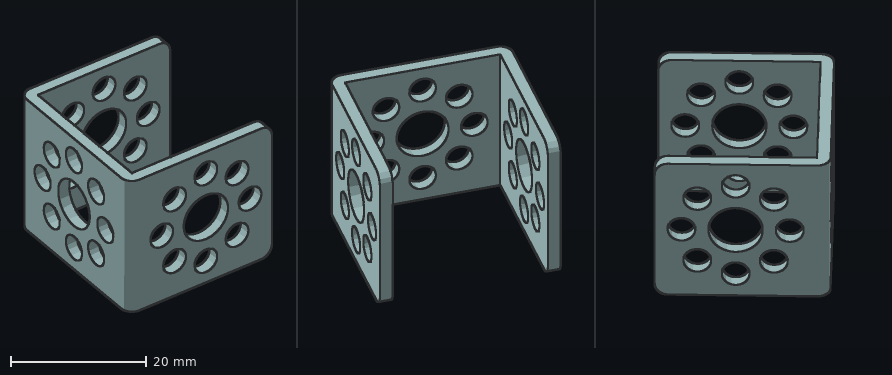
import cadquery as cq

width = 28.0
depth = 26.0
height = 24.0

thickness = (width - height) / 2
bend_radius = thickness
corner_radius = thickness

center_hole_diameter = 8.0
bolt_hole_diameter = 4.1
bolt_circle_radius = 8.0
bolt_hole_count = 8

flange_pattern_y = depth - height / 2


def make_channel():
    """U-shaped channel: web at Y = 0, open toward +Y, centred on X and Z."""
    outer = (
        cq.Workplane("XY")
        .box(width, depth, height)
        .translate((0, depth / 2, 0))
        .edges("|Z and <Y")
        .fillet(bend_radius)
    )
    cavity = (
        cq.Workplane("XY")
        .box(width - 2 * thickness, depth, height)
        .translate((0, depth / 2 + thickness, 0))
    )
    channel = outer.cut(cavity)
    return channel.edges("|X and >Y").fillet(corner_radius)


def hole_pattern(plane, length):
    """Centre hole and ring of bolt holes, as pins starting at the plane's origin."""
    center_pin = cq.Workplane(plane).circle(center_hole_diameter / 2).extrude(length)
    bolt_pins = (
        cq.Workplane(plane)
        .polarArray(bolt_circle_radius, 0, 360, bolt_hole_count)
        .circle(bolt_hole_diameter / 2)
        .extrude(length)
    )
    return center_pin.union(bolt_pins)


web_holes = hole_pattern("XZ", 2 * thickness).translate((0, 1.5 * thickness, 0))
flange_holes = hole_pattern("YZ", 2 * width).translate((-width, flange_pattern_y, 0))

result = make_channel().cut(web_holes).cut(flange_holes)